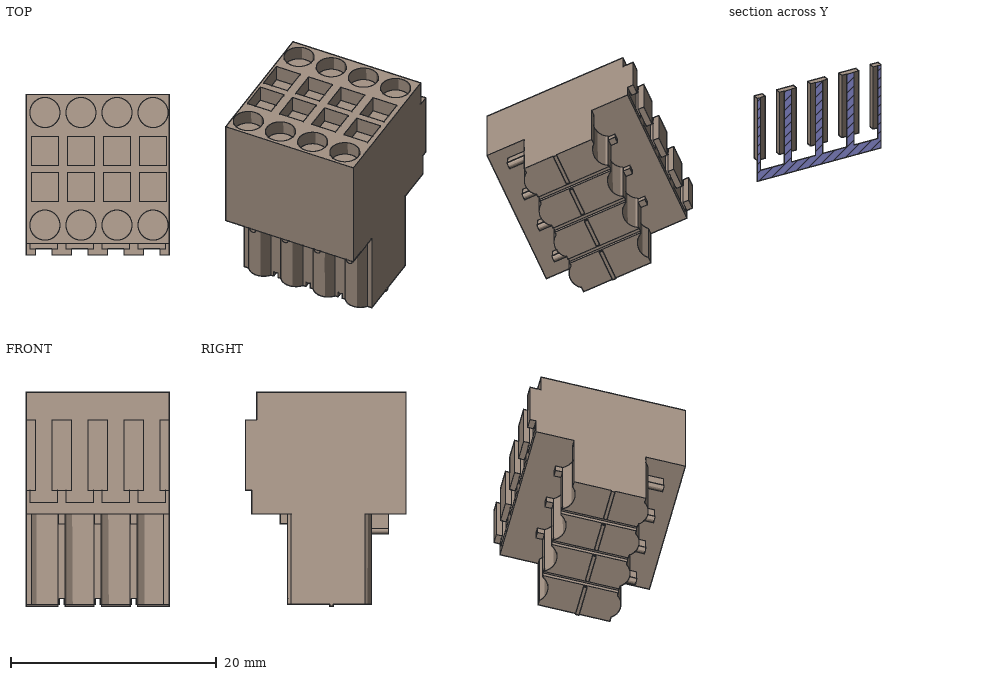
import cadquery as cq
import math


pole_count = 4
pole_pitch = 3.5
pole_xs = [(i - (pole_count - 1) / 2) * pole_pitch for i in range(pole_count)]
web_xs = [(i - pole_count / 2) * pole_pitch for i in range(1, pole_count)]

width = 13.9
housing_depth = 14.5
housing_height = 11.85
overall_depth = 15.6

ledge_thickness = 0.5
rib_width = 1.92
rib_bottom = 2.3
rib_top = 9.15
slot_width = 2.65
slot_bottom = 1.15

opening_shift = 0.12
wire_hole_diameter = 2.92
wire_hole_depth = 1.45
wire_hole_ys = [-1.76, -12.69]
test_opening_x = 2.6
test_opening_y = 2.8
test_opening_depth = 1.65
test_opening_ys = [-5.5, -9.0]

plug_height = 8.75
plug_back = -3.97
plug_front = -11.17
web_front = -11.52
round_radius = 1.5
round_offset = 0.88
hollow_radius = 1.6
hollow_shift = -0.04
web_width = 0.68
hollow_half_width = (pole_pitch - web_width) / 2
round_y = plug_back - round_offset
hollow_y = web_front - math.sqrt(hollow_radius**2 - hollow_half_width**2)

stop_reach = 0.7
stop_width = 0.62
stop_height = 0.95

notch_width = 0.45
notch_height = 0.55
bar_thickness = 0.36
bar_height = 0.2
bar_y = -7.24

fin_back = -1.7
fin_thickness = 0.45
fin_shift = -0.39
bead_radius = 0.33
bead_drop = 1.61


def box(x0, x1, y0, y1, z0, z1):
    """Box between two opposite corners."""
    return cq.Workplane("XY").box(x1 - x0, y1 - y0, z1 - z0, centered=False).translate((x0, y0, z0))


def centred_box(x, size_x, y0, y1, z0, z1):
    """Box centred on x."""
    return box(x - size_x / 2, x + size_x / 2, y0, y1, z0, z1)


def cylinder(x, y, radius, z0, z1):
    """Upright cylinder."""
    return cq.Workplane("XY", origin=(x, y, z0)).circle(radius).extrude(z1 - z0)


def make_housing():
    """Housing block with the ledge and ribs on its front."""
    ledge_front = -housing_depth - ledge_thickness
    housing = centred_box(0, width, -housing_depth, 0, 0, housing_height)
    ledge = centred_box(0, width, ledge_front, -housing_depth, 0, rib_top)
    for x in pole_xs:
        ledge = ledge.cut(centred_box(x, slot_width, ledge_front, -housing_depth, slot_bottom, rib_top))
    ribs = centred_box(0, width, -overall_depth, ledge_front, rib_bottom, rib_top)
    gap_width = pole_pitch - rib_width
    for x in pole_xs:
        ribs = ribs.cut(centred_box(x, gap_width, -overall_depth, ledge_front, rib_bottom, rib_top))
    return housing.union(ledge).union(ribs)


def cut_openings(body):
    """Round wire holes in the outer rows and rectangular openings in the inner rows."""
    for pole_x in pole_xs:
        x = pole_x + opening_shift
        for y in wire_hole_ys:
            floor = housing_height - wire_hole_depth
            body = body.cut(cylinder(x, y, wire_hole_diameter / 2, floor, housing_height))
        for y in test_opening_ys:
            floor = housing_height - test_opening_depth
            y0 = y - test_opening_y / 2
            y1 = y + test_opening_y / 2
            body = body.cut(centred_box(x, test_opening_x, y0, y1, floor, housing_height))
    return body


def make_plug():
    """Plug with rounded poles, front hollows, webs, stops and bottom notches."""
    plug = centred_box(0, width, plug_front, plug_back, -plug_height, 0)
    plug = plug.union(box(pole_xs[0], pole_xs[-1], web_front, plug_front, -plug_height, 0))
    for x in pole_xs:
        plug = plug.union(cylinder(x, round_y, round_radius, -plug_height, 0))
        plug = plug.cut(cylinder(x + hollow_shift, hollow_y, hollow_radius, -plug_height, 0))
    for x in web_xs:
        plug = plug.union(centred_box(x, stop_width, web_front - stop_reach, web_front, -stop_height, 0))
        notch_top = notch_height - plug_height
        plug = plug.cut(centred_box(x, notch_width, web_front, plug_back, -plug_height, notch_top))
    return plug


def make_bottom_bars():
    """Thin bar under the plug, interrupted at the webs."""
    y0 = bar_y - bar_thickness / 2
    y1 = bar_y + bar_thickness / 2
    z0 = -plug_height - bar_height
    bars = centred_box(0, width, y0, y1, z0, -plug_height)
    for x in web_xs:
        bars = bars.cut(centred_box(x, web_width, y0, y1, z0, -plug_height))
    return bars


def make_fin(pole_x):
    """Guide fin hanging under the housing, with a round bead along its lower edge."""
    x = pole_x + fin_shift
    length = fin_back - round_y
    plate = centred_box(x, fin_thickness, round_y, fin_back, -bead_drop, 0)
    bead = cq.Workplane("XZ", origin=(x, fin_back, -bead_drop)).circle(bead_radius).extrude(length)
    return plate.union(bead)


result = cut_openings(make_housing()).union(make_plug()).union(make_bottom_bars())
for pole_x in pole_xs:
    result = result.union(make_fin(pole_x))